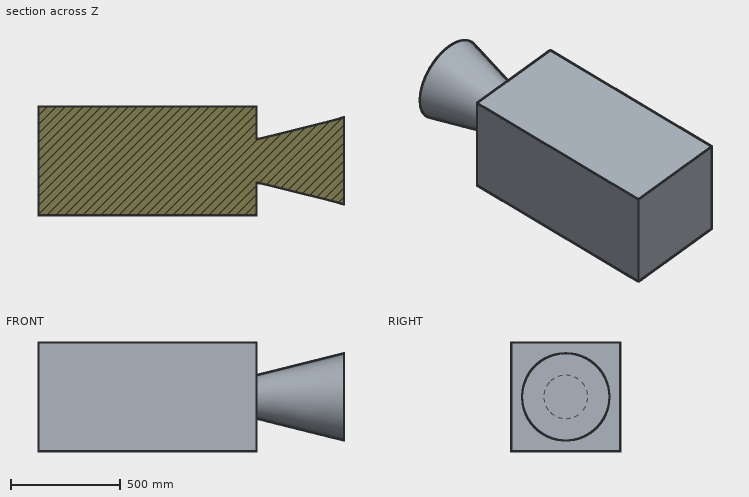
import cadquery as cq

body_length = 1000.0
body_side = 500.0

nozzle_length = 400.0
throat_radius = 100.0
exit_radius = 200.0


def make_body():
    """Square-section block centred on the origin, long axis along X."""
    return cq.Workplane("XY").box(body_length, body_side, body_side)


def make_nozzle():
    """Solid truncated cone on the X axis, widening away from the body."""
    throat_x = body_length / 2
    exit_x = throat_x + nozzle_length
    half_profile = (
        cq.Workplane("XZ")
        .moveTo(throat_x, 0)
        .lineTo(throat_x, throat_radius)
        .lineTo(exit_x, exit_radius)
        .lineTo(exit_x, 0)
        .close()
    )
    return half_profile.revolve(360, (0, 0, 0), (1, 0, 0))


result = make_body().union(make_nozzle())